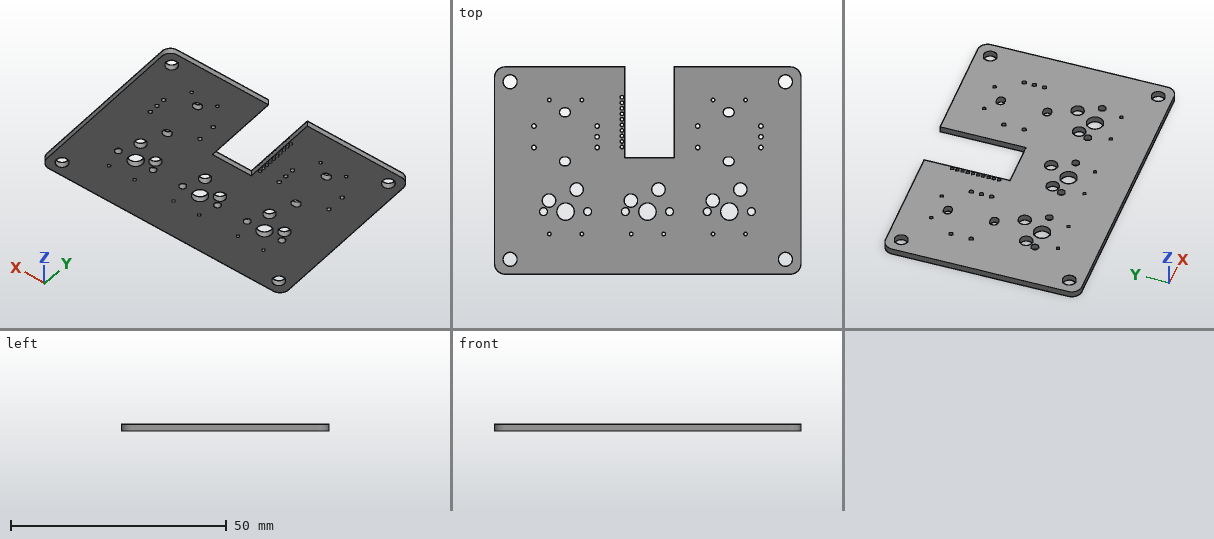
import cadquery as cq

LENGTH = 71.05
WIDTH = 48.1
THICKNESS = 1.6
CORNER_RADIUS = 2.5

NOTCH_LEFT = -5.3
NOTCH_WIDTH = 11.45
NOTCH_DEPTH = 21.0

MOUNT_DIAMETER = 3.2
MOUNT_INSET_X = 3.6
MOUNT_INSET_Y = 3.5

KEY_PITCH = 19.0
KEY_X = -0.1
KEY_Y = -9.5
STEM_DIAMETER = 4.0
PEG_DIAMETER = 1.8
PEG_OFFSET = 5.1
SOCKET_DIAMETER = 3.05
SOCKET_STEP_X = 1.3
SOCKET_STEP_Y = 2.55

LEAD_DIAMETER = 0.8
LEAD_OFFSET_X = 3.8
LEAD_KEY_Y = KEY_Y - 5.2
LEAD_ENCODER_Y = 16.35

ENCODER_Y = 7.8
PIN_DIAMETER = 1.0
PIN_OFFSET_X = 7.3
PIN_PITCH_Y = 2.5
SLOT_LENGTH = 2.5
SLOT_WIDTH = 2.0
SLOT_OFFSET_X = -0.15
SLOT_OFFSET_Y = 5.7

CONNECTOR_COUNT = 10
CONNECTOR_PITCH = 1.3
CONNECTOR_X = NOTCH_LEFT - 0.65
CONNECTOR_TOP_Y = 17.0
CONNECTOR_DIAMETER = 0.8

key_columns = [KEY_X + step * KEY_PITCH for step in (-1, 0, 1)]
encoder_columns = [key_columns[0], key_columns[-1]]


def drill(body, points, diameter):
    """Cut through holes of one diameter at the given XY points."""
    cutters = cq.Workplane("XY").pushPoints(points).circle(diameter / 2).extrude(THICKNESS)
    return body.cut(cutters)


def make_plate():
    """Rounded plate with the open notch."""
    plate = cq.Workplane("XY").box(LENGTH, WIDTH, THICKNESS, centered=(True, True, False))
    plate = plate.edges("|Z").fillet(CORNER_RADIUS)
    notch = (
        cq.Workplane("XY")
        .box(NOTCH_WIDTH, NOTCH_DEPTH, THICKNESS, centered=False)
        .translate((NOTCH_LEFT, WIDTH / 2 - NOTCH_DEPTH, 0))
    )
    return plate.cut(notch)


def lead_pair(x, y):
    return [(x - LEAD_OFFSET_X, y), (x + LEAD_OFFSET_X, y)]


def cut_key(body, x):
    """Stem, guide pegs, socket holes and lead holes of one key switch."""
    body = drill(body, [(x, KEY_Y)], STEM_DIAMETER)
    body = drill(body, [(x - PEG_OFFSET, KEY_Y), (x + PEG_OFFSET, KEY_Y)], PEG_DIAMETER)
    sockets = [
        (x - 3 * SOCKET_STEP_X, KEY_Y + SOCKET_STEP_Y),
        (x + 2 * SOCKET_STEP_X, KEY_Y + 2 * SOCKET_STEP_Y),
    ]
    body = drill(body, sockets, SOCKET_DIAMETER)
    return drill(body, lead_pair(x, LEAD_KEY_Y), LEAD_DIAMETER)


def cut_encoder(body, x):
    """Two pins on the left, three on the right, two fixing slots and lead holes."""
    left = [(x - PIN_OFFSET_X, ENCODER_Y + row * PIN_PITCH_Y) for row in (-1, 1)]
    right = [(x + PIN_OFFSET_X, ENCODER_Y + row * PIN_PITCH_Y) for row in (-1, 0, 1)]
    body = drill(body, left + right, PIN_DIAMETER)
    slot_points = [(x + SLOT_OFFSET_X, ENCODER_Y + side * SLOT_OFFSET_Y) for side in (-1, 1)]
    slots = cq.Workplane("XY").pushPoints(slot_points).slot2D(SLOT_LENGTH, SLOT_WIDTH).extrude(THICKNESS)
    body = body.cut(slots)
    return drill(body, lead_pair(x, LEAD_ENCODER_Y), LEAD_DIAMETER)


result = make_plate()

mount_x = LENGTH / 2 - MOUNT_INSET_X
mount_y = WIDTH / 2 - MOUNT_INSET_Y
mounts = [(side_x * mount_x, side_y * mount_y) for side_x in (-1, 1) for side_y in (-1, 1)]
result = drill(result, mounts, MOUNT_DIAMETER)

for column in key_columns:
    result = cut_key(result, column)

for column in encoder_columns:
    result = cut_encoder(result, column)

connector = [(CONNECTOR_X, CONNECTOR_TOP_Y - i * CONNECTOR_PITCH) for i in range(CONNECTOR_COUNT)]
result = drill(result, connector, CONNECTOR_DIAMETER)